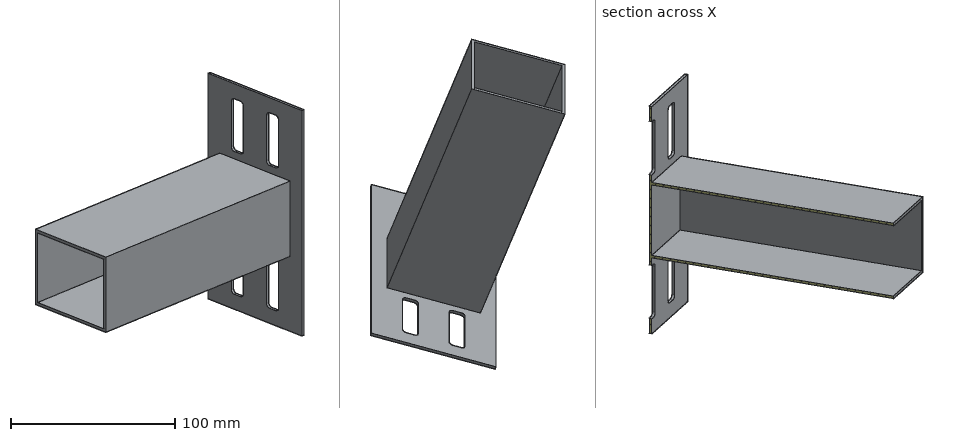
import cadquery as cq

total_length = 162.0
plate_width = 80.0
plate_height = 150.0
sheet_thickness = 2.0

tube_width = 60.0
tube_height = 50.0
tube_length = total_length - sheet_thickness

slot_width = 10.0
slot_height = 35.0
slot_corner_radius = 2.5
slot_spacing_x = 30.0
slot_edge_margin = 10.0
slot_spacing_z = plate_height - 2 * slot_edge_margin - slot_height


def block(width, length, height):
    """Box centred on the Y axis, running from Y = 0 toward +Y."""
    return cq.Workplane("XY").box(width, length, height, centered=(True, False, True))


def make_tube():
    """Hollow tube, open at Y = 0."""
    outside = block(tube_width, tube_length, tube_height)
    bore = block(
        tube_width - 2 * sheet_thickness,
        tube_length,
        tube_height - 2 * sheet_thickness,
    )
    return outside.cut(bore)


def make_plate():
    """Plate closing the far end of the tube, with four rounded slots."""
    plate = block(plate_width, sheet_thickness, plate_height)
    slot = block(slot_width, sheet_thickness, slot_height).edges("|Y").fillet(slot_corner_radius)
    for side_x in (-1, 1):
        for side_z in (-1, 1):
            offset = (side_x * slot_spacing_x / 2, 0, side_z * slot_spacing_z / 2)
            plate = plate.cut(slot.translate(offset))
    return plate.translate((0, tube_length, 0))


result = make_tube().union(make_plate())